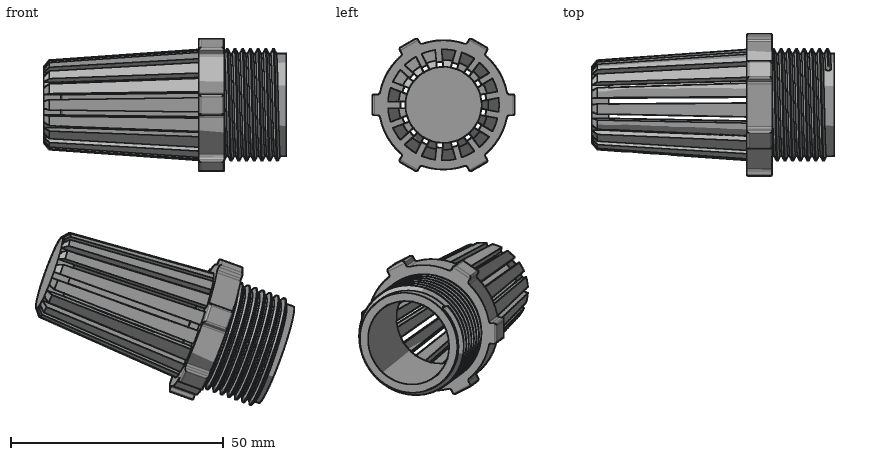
import cadquery as cq
import math


total_length = 57.0
basket_length = 36.4
collar_width = 6.0
collar_end = basket_length + collar_width

tip_radius = 8.95
chamfer_length = 1.35
chamfer_radius = 10.55
basket_base_radius = 13.05
end_plate_thickness = 4.05
cavity_tip_radius = tip_radius
cavity_base_radius = 11.1
cavity_fillet = 0.4
bore_radius = 10.1
slot_count = 17
slot_width = 1.5

collar_radius = 15.2
lug_count = 6
lug_width = 4.95
lug_tip_radius = 16.75
lug_edge_fillet = 0.5
lug_root_fillet = 0.5

spigot_radius = 12.1
thread_crest_radius = 13.15
thread_crest_width = 0.2
thread_flank_angle = 27.5
thread_root_overlap = 0.3
thread_length = 14.5
thread_turns = 8
thread_pitch = thread_length / thread_turns
thread_end_x = 55.6
thread_end_angle = 45.0


def cylinder(radius, start, end):
    return cq.Workplane("YZ", origin=(start, 0, 0)).circle(radius).extrude(end - start)


def revolve_about_x(outline):
    return cq.Workplane("XY").polyline(outline).close().revolve(360, (0, 0, 0), (1, 0, 0))


def turn_about_x(body, degrees):
    return body.rotate((0, 0, 0), (1, 0, 0), degrees)


def make_basket_blank():
    """Solid cone with a steep lead-in at its closed end."""
    outline = [
        (0, 0),
        (0, tip_radius),
        (chamfer_length, chamfer_radius),
        (basket_length, basket_base_radius),
        (basket_length, 0),
    ]
    return revolve_about_x(outline)


def make_slots():
    """Parallel-sided radial slots that leave the round core of the end plate whole."""
    slot = cq.Workplane("XY").box(
        basket_length, collar_radius, slot_width, centered=(False, False, True)
    )
    slots = cq.Workplane("XY")
    for index in range(slot_count):
        slots = slots.add(turn_about_x(slot, index * 360 / slot_count))
    return slots.combine().cut(cylinder(tip_radius, 0, end_plate_thickness))


def make_cavity():
    """Tapered hollow inside the basket, slightly wider than the spigot bore where they meet."""
    outline = [
        (end_plate_thickness, 0),
        (end_plate_thickness, cavity_tip_radius),
        (basket_length, cavity_base_radius),
        (basket_length, 0),
    ]
    return revolve_about_x(outline).faces("<X").edges().fillet(cavity_fillet)


def make_collar():
    """Round collar with evenly spaced grip lugs, rounded at their tips and roots."""
    collar = cylinder(collar_radius, basket_length, collar_end)
    lug = (
        cq.Workplane("XY", origin=(basket_length, 0, 0))
        .box(collar_width, lug_tip_radius, lug_width, centered=(False, False, True))
        .faces(">Y")
        .edges()
        .fillet(lug_edge_fillet)
    )
    for index in range(lug_count):
        collar = collar.union(turn_about_x(lug, index * 360 / lug_count))

    middle = basket_length + collar_width / 2
    half_angle = math.asin(lug_width / 2 / collar_radius)
    for index in range(lug_count):
        for side in (-1, 1):
            angle = index * 2 * math.pi / lug_count + side * half_angle
            root = (middle, collar_radius * math.cos(angle), collar_radius * math.sin(angle))
            collar = collar.edges(cq.NearestToPointSelector(root)).fillet(lug_root_fillet)
    return collar


def make_thread():
    """Right-handed V ridge that starts inside the collar and ends in a conical nose."""
    root_radius = spigot_radius - thread_root_overlap
    half_crest = thread_crest_width / 2
    depth = thread_crest_radius - root_radius
    half_root = half_crest + depth * math.tan(math.radians(thread_flank_angle))
    helix = cq.Wire.makeHelix(thread_pitch, thread_length, spigot_radius)
    ridge = (
        cq.Workplane("XZ")
        .polyline(
            [
                (root_radius, -half_root),
                (thread_crest_radius, -half_crest),
                (thread_crest_radius, half_crest),
                (root_radius, half_root),
            ]
        )
        .close()
        .sweep(cq.Workplane(helix), isFrenet=True)
    )
    ridge = turn_about_x(ridge.rotate((0, 0, 0), (0, 1, 0), 90), 90 + thread_end_angle)
    ridge = ridge.translate((thread_end_x - thread_length, 0, 0))

    nose = cq.Solid.makeCone(
        half_root,
        half_crest,
        depth,
        pnt=cq.Vector(thread_end_x, root_radius, 0),
        dir=cq.Vector(0, 1, 0),
    )
    return ridge, turn_about_x(cq.Workplane(nose), thread_end_angle)


basket = make_basket_blank().cut(make_cavity()).cut(make_slots())
thread_ridge, thread_nose = make_thread()
spigot = cylinder(spigot_radius, collar_end, total_length).union(thread_ridge).union(thread_nose)
bore = cylinder(bore_radius, basket_length, total_length)
result = make_collar().union(spigot).cut(bore).union(basket)